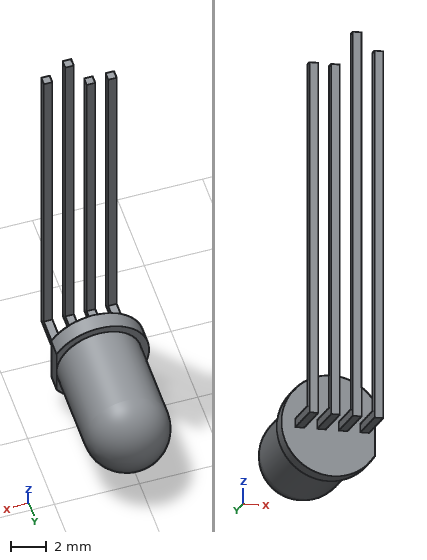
import cadquery as cq

lens_radius = 2.5
flange_radius = 2.95
flange_thickness = 1.0
lens_length = 8.6
dome_start = lens_length - lens_radius

lead_width = 0.5
lead_pitch = 1.25
lead_reach = 3.0
lead_tops = [20.25, 20.25, 22.25, 21.25]


def make_lens():
    """Domed cylinder revolved about the Y axis."""
    dome_mid = lens_radius * 0.5**0.5
    profile = (
        cq.Workplane("XY")
        .lineTo(lens_radius, 0)
        .lineTo(lens_radius, dome_start)
        .threePointArc((dome_mid, dome_start + dome_mid), (0, lens_length))
        .close()
    )
    return profile.revolve(360, (0, 0), (0, 1))


def make_flange():
    """Round flange cut flush with the lens on its +X side."""
    disc = cq.Workplane("XZ").circle(flange_radius).extrude(-flange_thickness)
    width = flange_radius + lens_radius
    keep = cq.Workplane("XY").box(width, 2 * flange_thickness, 2 * flange_radius)
    return disc.intersect(keep.translate((lens_radius - width / 2, 0, 0)))


def make_lead(x, top):
    """L-shaped square lead centred at x."""
    half = lead_width / 2
    return (
        cq.Workplane("YZ", origin=(x - half, 0, 0))
        .moveTo(0, -half)
        .lineTo(-lead_reach, -half)
        .lineTo(-lead_reach, top)
        .lineTo(lead_width - lead_reach, top)
        .lineTo(lead_width - lead_reach, half)
        .lineTo(0, half)
        .close()
        .extrude(lead_width)
    )


result = make_lens().union(make_flange())
first_lead_x = -lead_pitch * (len(lead_tops) - 1) / 2
for index, lead_top in enumerate(lead_tops):
    result = result.union(make_lead(first_lead_x + index * lead_pitch, lead_top))